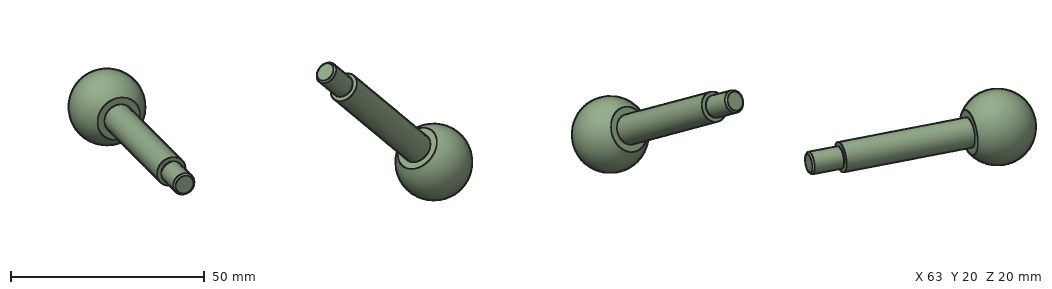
import cadquery as cq
import math

total_length = 63.0
ball_diameter = 20.0
ball_flat_x = 18.0
shaft_diameter = 8.0
shaft_end_x = 54.0
pin_diameter = 6.0
pin_chamfer = 0.5
root_chamfer = 0.4

ball_radius = ball_diameter / 2
shaft_radius = shaft_diameter / 2
pin_radius = pin_diameter / 2
ball_flat_radius = math.sqrt(ball_radius**2 - (ball_flat_x - ball_radius) ** 2)

profile = (
    cq.Workplane("XZ")
    .moveTo(0, 0)
    .threePointArc((ball_radius, ball_radius), (ball_flat_x, ball_flat_radius))
    .lineTo(ball_flat_x, shaft_radius)
    .lineTo(shaft_end_x, shaft_radius)
    .lineTo(shaft_end_x, pin_radius - root_chamfer)
    .lineTo(shaft_end_x + root_chamfer, pin_radius)
    .lineTo(total_length - pin_chamfer, pin_radius)
    .lineTo(total_length, pin_radius - pin_chamfer)
    .lineTo(total_length, 0)
    .close()
)

result = profile.revolve(360, (0, 0, 0), (1, 0, 0))